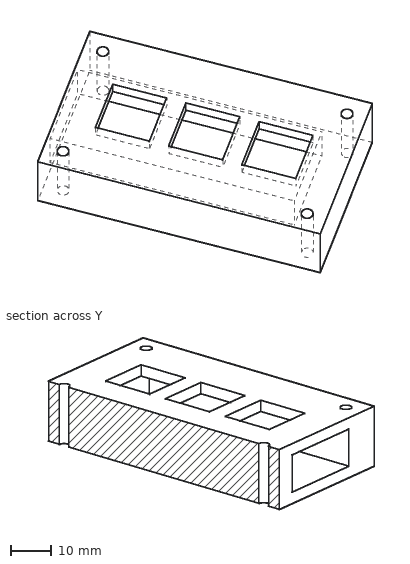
import cadquery as cq

length = 73.4
width = 42.4
height = 16.0

floor_thickness = 3.1
roof_thickness = 3.0
side_wall = 10.0
end_wall = 10.0
cavity_length = length - end_wall
cavity_width = width - 2 * side_wall
cavity_height = height - floor_thickness - roof_thickness

window_side = 14.0
window_pitch = 19.0
window_count = 3
window_offset_x = -0.3
window_offset_y = 0.3

screw_diameter = 2.9
screw_inset = 5.0


def make_block():
    """Solid block centred in X and Y, with its underside at Z = 0."""
    return cq.Workplane("XY").box(length, width, height, centered=(True, True, False))


def make_cavity():
    """Rectangular cavity running from the -X face to the end wall."""
    cavity = cq.Workplane("XY").box(
        cavity_length, cavity_width, cavity_height, centered=(False, True, False)
    )
    return cavity.translate((-length / 2, 0, floor_thickness))


def make_windows():
    """Row of square windows through the roof into the cavity."""
    roof_underside = height - roof_thickness
    return (
        cq.Workplane("XY", origin=(window_offset_x, window_offset_y, roof_underside))
        .rarray(window_pitch, 1, window_count, 1)
        .rect(window_side, window_side)
        .extrude(roof_thickness)
    )


def make_screw_holes():
    """Four through holes, one near each corner."""
    return (
        cq.Workplane("XY")
        .rect(length - 2 * screw_inset, width - 2 * screw_inset, forConstruction=True)
        .vertices()
        .circle(screw_diameter / 2)
        .extrude(height)
    )


result = make_block().cut(make_cavity()).cut(make_windows()).cut(make_screw_holes())